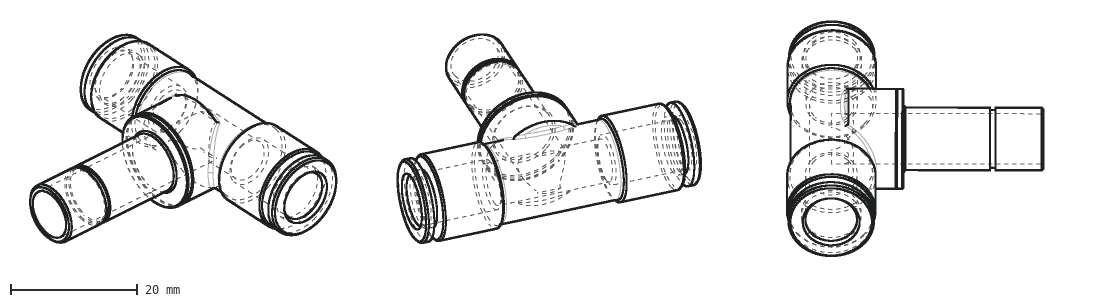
import cadquery as cq
half_run = 23.2
body_radius = 6.5
sleeve_radius = 7.0
sleeve_face_radius = 6.75
release_ring_radius = 6.77
neck_radius = 4.75
ring_edge = 0.32

ring_thickness = 1.25
neck_start = 1.5
neck_end = 2.5
sleeve_face = 2.8
sleeve_start = 3.1
sleeve_end = 12.75
step_start = 13.1
step_end = 13.55
step_radius = 6.6

socket_radius = 4.1
socket_depth = 13.45
shoulder_length = 0.35
mouth_radius = 4.5
mouth_depth = 0.65
through_radius = 3.5

boss_radius = 7.91
boss_core_radius = 4.18
boss_core = 0.95
boss_tip_radius = 7.35
boss_tip = 2.27
boss_shoulder = 2.7
boss_end = 11.35
boss_groove_start = 10.15
boss_groove_end = 10.4
boss_groove_depth = 0.1
boss_edge = 0.2
junction_fillet = 0.55

tube_radius = 4.95
tube_end = 33.5
tube_edge = 0.32
collar_radius = 5.3
collar_end = 11.7
tube_groove_start = 25.05
tube_groove_end = 25.9
tube_groove_radius = 4.6
tube_bore_radius = 4.0


def revolve_about_x(points):
    return cq.Workplane("XY").polyline(points).close().revolve(360, (0, 0, 0), (1, 0, 0))


def revolve_about_branch(stations):
    """Turn (distance, radius) stations about the branch axis, closed on the axis."""
    outline = [(radius, -distance) for distance, radius in stations]
    outline = [(0, outline[0][1])] + outline + [(0, outline[-1][1])]
    return cq.Workplane("XY").polyline(outline).close().revolve(360, (0, 0, 0), (0, 1, 0))


def run_end():
    """Release ring, neck and sleeve at the -X end of the run."""
    stations = [
        (0, 0),
        (0, release_ring_radius - ring_edge),
        (ring_edge, release_ring_radius),
        (ring_thickness, release_ring_radius),
        (neck_start, neck_radius),
        (neck_end, neck_radius),
        (sleeve_face, sleeve_face_radius),
        (sleeve_start, sleeve_radius),
        (sleeve_end, sleeve_radius),
        (step_start, step_radius),
        (step_end, body_radius),
        (step_end, 0),
    ]
    return revolve_about_x([(depth - half_run, radius) for depth, radius in stations])


def run_socket():
    """Stepped tube socket at the -X end, with a flared mouth and a conical shoulder."""
    stations = [
        (0, 0),
        (0, mouth_radius),
        (mouth_depth, socket_radius),
        (socket_depth, socket_radius),
        (socket_depth + shoulder_length, through_radius),
        (socket_depth + shoulder_length, 0),
    ]
    return revolve_about_x([(depth - half_run, radius) for depth, radius in stations])


def body_with_boss():
    """Central barrel joined to the plain part of the branch boss by a fillet."""
    barrel_half = half_run - step_end
    barrel = cq.Workplane("YZ").circle(body_radius).extrude(barrel_half, both=True)
    boss = revolve_about_branch([
        (boss_core, boss_core_radius),
        (boss_tip, boss_tip_radius),
        (boss_shoulder, boss_radius),
        (boss_groove_start, boss_radius),
    ])
    joined = barrel.union(boss)
    joint_box = cq.selectors.BoxSelector(
        (-boss_radius - 0.45, -body_radius - 0.45, -boss_radius),
        (boss_radius + 0.45, -0.45, boss_radius),
    )
    joint_edges = [
        edge for edge in joined.edges(joint_box).vals()
        if edge.geomType() != "CIRCLE"
    ]
    return joined.newObject(joint_edges).fillet(junction_fillet)


def branch_stem():
    """Grooved end of the boss and the plug-in tube."""
    return revolve_about_branch([
        (boss_shoulder, tube_radius),
        (boss_groove_start, tube_radius),
        (boss_groove_start, boss_radius - boss_groove_depth),
        (boss_groove_end, boss_radius - boss_groove_depth),
        (boss_groove_end, boss_radius),
        (boss_end - boss_edge, boss_radius),
        (boss_end, boss_radius - boss_edge),
        (boss_end, collar_radius),
        (collar_end, tube_radius),
        (tube_groove_start, tube_radius),
        (tube_groove_start, tube_groove_radius),
        (tube_groove_end, tube_groove_radius),
        (tube_groove_end, tube_radius),
        (tube_end - tube_edge, tube_radius),
        (tube_end, tube_radius - tube_edge),
    ])


result = body_with_boss().union(branch_stem())

left_end = run_end()
left_socket = run_socket()
for end in (left_end, left_end.mirror("YZ")):
    result = result.union(end)
for socket in (left_socket, left_socket.mirror("YZ")):
    result = result.cut(socket)

run_bore = cq.Workplane("YZ").circle(through_radius).extrude(half_run, both=True)
branch_bore = revolve_about_branch([(0, tube_bore_radius), (tube_end, tube_bore_radius)])
result = result.cut(run_bore).cut(branch_bore)